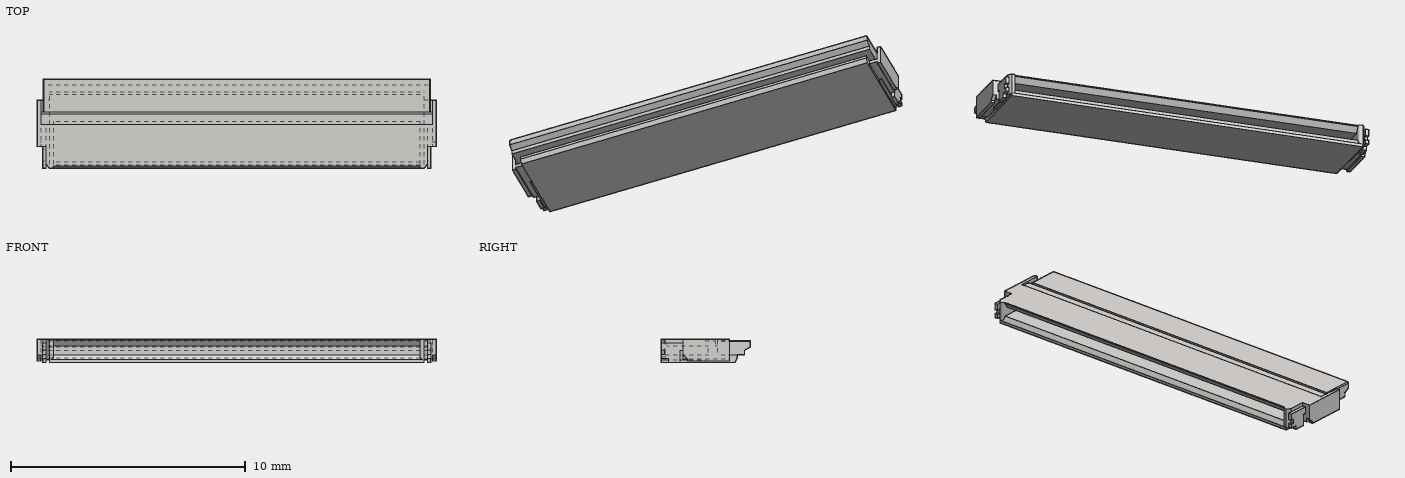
import cadquery as cq
import math

LENGTH = 17.0
DEPTH = 3.8
HEIGHT = 1.0
SHEET = 0.16

WING_INNER_HALF = LENGTH / 2 - SHEET
WING_FRONT = 0.925
WING_BACK = 2.91
WING_BOTTOM = 0.06
WING_CHAMFER_Y = 0.20
WING_CHAMFER_TOP = 0.33
HOUSING_BOTTOM = 0.15

MOUTH_HALF = 8.11
BASE_HALF = 7.98
CORNER_DEPTH = 0.17
MOUTH_LEDGE_Z = 0.11

TAB_THICKNESS = 0.15
TAB_OUTER_HALF = MOUTH_HALF + TAB_THICKNESS
TAB_TOP = HEIGHT - SHEET
TAB_BACK = 0.81
TAB_SHOULDER_Z = 0.52
TAB_FOOT_Y = 0.32
TAB_FOOT_Z = 0.17
TAB_NOTCH_DEPTH = 0.15
TAB_NOTCH_BOTTOM = 0.35
TAB_NOTCH_TOP = 0.54

OPENING_HALF = 7.90
OPENING_BOTTOM = 0.13
OPENING_TOP = 0.95
LIP_SETBACK = 0.10
SLOT_HALF = 7.80
SLOT_BOTTOM = 0.33
SLOT_TOP = 0.70
FLOOR_FLARE_DEPTH = 0.14
CEILING_FLARE_DEPTH = 0.28
SIDE_FLARE_RADIUS = OPENING_HALF - SLOT_HALF
SLOT_DEPTH = 2.0

RECESS_FRONT = 1.88
RECESS_DEPTH = 0.08
GAP_FRONT = 2.32
GAP_BACK = 2.41
GAP_DEPTH = 0.22

ACTUATOR_HALF = 8.25
ACTUATOR_TOP = 0.94
ACTUATOR_BOTTOM = 0.33
ACTUATOR_CHAMFER = 0.05
ACTUATOR_SLOPE_TOP = 0.66
ACTUATOR_STEP_Y = 3.56
ACTUATOR_STEP_Z = 0.52

FOOT_BACK = 3.25
FOOT_BACK_BOTTOM = 3.15
FOOT_SHOULDER_Z = 0.20


def side_profile(points, x_start, x_end):
    """Closed (Y, Z) outline extruded along X from x_start to x_end."""
    return cq.Workplane("YZ").workplane(offset=x_start).polyline(points).close().extrude(x_end - x_start)


def make_base():
    """Narrow base plate under the whole part, ending in the sloped rear foot."""
    profile = [
        (0, 0),
        (FOOT_BACK_BOTTOM, 0),
        (FOOT_BACK, FOOT_SHOULDER_Z),
        (FOOT_BACK, ACTUATOR_BOTTOM),
        (0, ACTUATOR_BOTTOM),
    ]
    return side_profile(profile, -BASE_HALF, BASE_HALF)


def make_mouth():
    """Mouth block with angled front corners, overhanging the base plate at both ends."""
    plan = [
        (-BASE_HALF, 0),
        (BASE_HALF, 0),
        (MOUTH_HALF, CORNER_DEPTH),
        (MOUTH_HALF, RECESS_FRONT),
        (-MOUTH_HALF, RECESS_FRONT),
        (-MOUTH_HALF, CORNER_DEPTH),
    ]
    outline = cq.Workplane("XY").workplane(offset=MOUTH_LEDGE_Z).polyline(plan).close()
    return outline.extrude(HEIGHT - MOUTH_LEDGE_Z)


def make_opening():
    """Cutter: slot with sloped floor and ceiling, rounded side flares and a set-back upper lip."""
    profile = [
        (0, OPENING_BOTTOM),
        (FLOOR_FLARE_DEPTH, SLOT_BOTTOM),
        (SLOT_DEPTH, SLOT_BOTTOM),
        (SLOT_DEPTH, SLOT_TOP),
        (CEILING_FLARE_DEPTH, SLOT_TOP),
        (LIP_SETBACK, OPENING_TOP),
        (LIP_SETBACK, HEIGHT),
        (0, HEIGHT),
    ]
    slot = side_profile(profile, -OPENING_HALF, OPENING_HALF)
    bulge = SIDE_FLARE_RADIUS * (1 - math.sqrt(0.5))
    middle_x = SLOT_HALF + bulge
    plan = (
        cq.Workplane("XY")
        .moveTo(-OPENING_HALF, 0)
        .lineTo(OPENING_HALF, 0)
        .threePointArc((middle_x, bulge), (SLOT_HALF, SIDE_FLARE_RADIUS))
        .lineTo(SLOT_HALF, SLOT_DEPTH)
        .lineTo(-SLOT_HALF, SLOT_DEPTH)
        .lineTo(-SLOT_HALF, SIDE_FLARE_RADIUS)
        .threePointArc((-middle_x, bulge), (-OPENING_HALF, 0))
        .close()
        .extrude(HEIGHT)
    )
    return slot.intersect(plan)


def make_housing():
    """Body between the wings, with the recessed strip behind the top plate."""
    strip_top = HEIGHT - RECESS_DEPTH
    profile = [
        (WING_FRONT, HOUSING_BOTTOM),
        (WING_BACK, HOUSING_BOTTOM),
        (WING_BACK, ACTUATOR_BOTTOM),
        (GAP_BACK, ACTUATOR_BOTTOM),
        (GAP_BACK, strip_top - GAP_DEPTH),
        (GAP_FRONT, strip_top - GAP_DEPTH),
        (GAP_FRONT, strip_top),
        (RECESS_FRONT, strip_top),
        (RECESS_FRONT, HEIGHT),
        (WING_FRONT, HEIGHT),
    ]
    return side_profile(profile, -WING_INNER_HALF, WING_INNER_HALF)


def make_actuator():
    """Rear lever with a stepped back and chamfered side edges."""
    profile = [
        (GAP_BACK, ACTUATOR_BOTTOM),
        (ACTUATOR_STEP_Y, ACTUATOR_BOTTOM),
        (ACTUATOR_STEP_Y, ACTUATOR_STEP_Z),
        (DEPTH, ACTUATOR_SLOPE_TOP),
        (DEPTH, ACTUATOR_TOP),
        (GAP_BACK, ACTUATOR_TOP),
    ]
    lever = side_profile(profile, -ACTUATOR_HALF, ACTUATOR_HALF)
    return lever.faces(">Z").edges("|Y").chamfer(ACTUATOR_CHAMFER)


def make_wing():
    """Left end wall of the shell, chamfered low on its front edge."""
    profile = [
        (WING_FRONT, HEIGHT),
        (WING_BACK, HEIGHT),
        (WING_BACK, WING_BOTTOM),
        (WING_FRONT + WING_CHAMFER_Y, WING_BOTTOM),
        (WING_FRONT + WING_CHAMFER_Y, HOUSING_BOTTOM),
        (WING_FRONT, WING_CHAMFER_TOP),
    ]
    return side_profile(profile, -LENGTH / 2, -WING_INNER_HALF)


def make_tab():
    """Left locking tab standing beside the mouth, notched on its front edge."""
    profile = [
        (0, TAB_TOP),
        (WING_FRONT, TAB_TOP),
        (WING_FRONT, TAB_SHOULDER_Z),
        (TAB_BACK, TAB_SHOULDER_Z),
        (TAB_BACK, 0),
        (TAB_FOOT_Y, 0),
        (TAB_FOOT_Y, TAB_FOOT_Z),
        (0, TAB_FOOT_Z),
        (0, TAB_NOTCH_BOTTOM),
        (TAB_NOTCH_DEPTH, TAB_NOTCH_BOTTOM),
        (TAB_NOTCH_DEPTH, TAB_NOTCH_TOP),
        (0, TAB_NOTCH_TOP),
    ]
    return side_profile(profile, -TAB_OUTER_HALF, -MOUTH_HALF)


result = make_base().union(make_mouth()).union(make_housing()).union(make_actuator())
for left_part in (make_wing(), make_tab()):
    result = result.union(left_part).union(left_part.mirror("YZ"))
result = result.cut(make_opening())